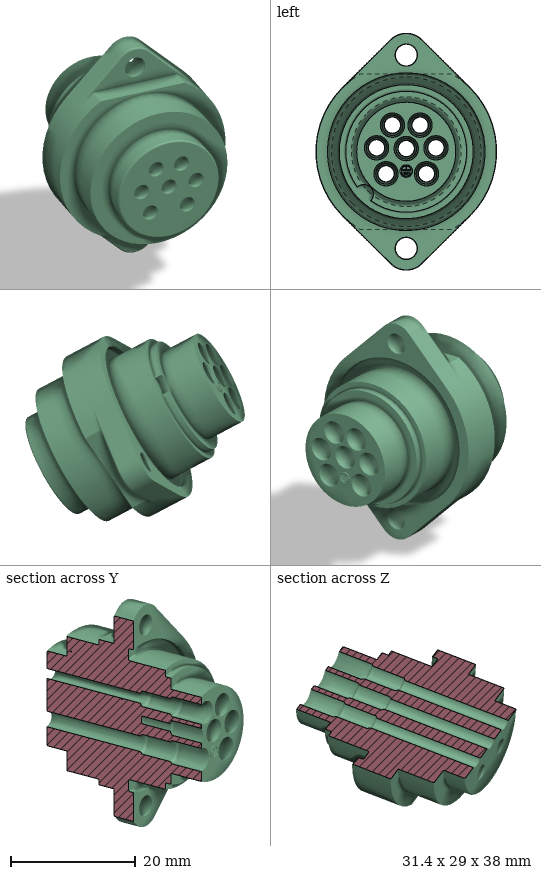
import cadquery as cq
import math


insert_dia = 15.9
collar_dia = 19.4
barrel_dia = 21.5
body_dia = 29.0
rear_body_dia = 24.0
rear_end_dia = 17.6

insert_length = 6.15
collar_length = 1.15
barrel_length = 6.4
flange_thickness = 4.0
body_length = 7.0
rear_body_length = 6.5
rear_end_length = 3.95

barrel_front = -barrel_length
collar_front = barrel_front - collar_length
insert_front = collar_front - insert_length
rear_body_front = body_length
rear_end_front = rear_body_front + rear_body_length
rear_face = rear_end_front + rear_end_length

lug_radius = 3.5
lug_offset = 15.5
mounting_hole_dia = 3.5
edge_round = 0.3
body_flat_height = 12.5

groove_dia = 25.3
groove_depth = 1.0
groove_round = 0.22

contact_mouth_dia = 3.9
contact_middle_dia = 3.3
contact_rear_dia = 2.6
contact_mouth_depth = 6.0
contact_middle_depth = 12.0
contact_shoulder_angle = 45.0
contact_circle_radius = 4.8
contact_pitch_angle = 55.0
contacts_on_circle = 6
center_contact_height = 0.5

key_dia = 3.05
key_center_radius = 9.6
key_angle = -45.0

symbol_height = 0.2
symbol_dia = 2.0
symbol_inner_dia = 1.6
symbol_center_z = -3.1
symbol_stroke = 0.15
symbol_bars = [(0.15, 1.8), (-0.2, 1.1), (-0.5, 0.6)]


def disc(diameter, start, length, y=0.0, z=0.0):
    """Cylinder along +X whose front face is centred at (start, y, z)."""
    return cq.Workplane("YZ", origin=(start, y, z)).circle(diameter / 2).extrude(length)


def make_flange():
    """Plate bounded by the body circle, two lug circles and their common tangents."""
    rise = math.asin((body_dia / 2 - lug_radius) / lug_offset)
    hub_y = body_dia / 2 * math.cos(rise)
    hub_z = body_dia / 2 * math.sin(rise)
    lug_y = lug_radius * math.cos(rise)
    lug_z = lug_offset + lug_radius * math.sin(rise)
    lug_tip = lug_offset + lug_radius
    plate = (
        cq.Workplane("YZ")
        .moveTo(hub_y, -hub_z)
        .threePointArc((body_dia / 2, 0), (hub_y, hub_z))
        .lineTo(lug_y, lug_z)
        .threePointArc((0, lug_tip), (-lug_y, lug_z))
        .lineTo(-hub_y, hub_z)
        .threePointArc((-body_dia / 2, 0), (-hub_y, -hub_z))
        .lineTo(-lug_y, -lug_z)
        .threePointArc((0, -lug_tip), (lug_y, -lug_z))
        .close()
        .extrude(flange_thickness)
    )
    return plate.faces(">X").edges().fillet(edge_round)


def make_body():
    """Round body behind the flange, flattened at top and bottom."""
    flat_slab = cq.Workplane("YZ").rect(body_dia, 2 * body_flat_height).extrude(body_length)
    return disc(body_dia, 0, body_length).intersect(flat_slab)


def make_seal_groove():
    """Ring cut into the flange face, with rounded floor corners."""
    ring = disc(groove_dia, 0, groove_depth).cut(disc(barrel_dia, 0, groove_depth))
    return ring.faces(">X").edges().fillet(groove_round)


def make_contact_hole(y, z):
    """Through hole that steps down twice between the insert face and the rear face."""
    mouth_radius = contact_mouth_dia / 2
    middle_radius = contact_middle_dia / 2
    rear_radius = contact_rear_dia / 2
    cone_ratio = math.tan(math.radians(contact_shoulder_angle))
    mouth_shoulder = (mouth_radius - middle_radius) / cone_ratio
    middle_shoulder = (middle_radius - rear_radius) / cone_ratio
    profile = (
        cq.Workplane("XY", origin=(insert_front, y, z))
        .lineTo(0, mouth_radius)
        .lineTo(contact_mouth_depth, mouth_radius)
        .lineTo(contact_mouth_depth + mouth_shoulder, middle_radius)
        .lineTo(contact_middle_depth, middle_radius)
        .lineTo(contact_middle_depth + middle_shoulder, rear_radius)
        .lineTo(rear_face - insert_front, rear_radius)
        .lineTo(rear_face - insert_front, 0)
        .close()
    )
    return profile.revolve(360, (0, 0, 0), (1, 0, 0))


def contact_positions():
    """Centre contact followed by those spaced around the circle, open at the bottom."""
    positions = [(0, center_contact_height)]
    first = 90 - contact_pitch_angle * (contacts_on_circle - 1) / 2
    for index in range(contacts_on_circle):
        angle = math.radians(first + index * contact_pitch_angle)
        y = contact_circle_radius * math.cos(angle)
        z = contact_circle_radius * math.sin(angle)
        positions.append((y, z))
    return positions


def make_key_notch():
    """Round notch through the collar."""
    angle = math.radians(key_angle)
    y = key_center_radius * math.cos(angle)
    z = key_center_radius * math.sin(angle)
    return disc(key_dia, collar_front, collar_length, y, z)


def make_earth_symbol():
    """Ring with a stem and three shrinking bars, standing on the insert face."""
    face = cq.Workplane("YZ", origin=(insert_front, 0, symbol_center_z))
    ring = face.circle(symbol_dia / 2).circle(symbol_inner_dia / 2)
    symbol = ring.extrude(-symbol_height)
    stem_bottom = symbol_bars[0][0]
    stem_top = (symbol_dia + symbol_inner_dia) / 4
    stem = face.center(0, (stem_bottom + stem_top) / 2).rect(symbol_stroke, stem_top - stem_bottom)
    symbol = symbol.union(stem.extrude(-symbol_height))
    for height, length in symbol_bars:
        bar = face.center(0, height).rect(length, symbol_stroke)
        symbol = symbol.union(bar.extrude(-symbol_height))
    return symbol


insert = disc(insert_dia, insert_front, insert_length)
collar = disc(collar_dia, collar_front, collar_length).cut(make_key_notch())
barrel = disc(barrel_dia, barrel_front, barrel_length)
rear_body = disc(rear_body_dia, rear_body_front, rear_body_length)
rear_end = disc(rear_end_dia, rear_end_front, rear_end_length).faces(">X").edges().fillet(edge_round)

result = make_flange().union(make_body()).cut(make_seal_groove())
for section in (barrel, collar, insert, rear_body, rear_end, make_earth_symbol()):
    result = result.union(section)

for hole_z in (lug_offset, -lug_offset):
    result = result.cut(disc(mounting_hole_dia, 0, flange_thickness, 0, hole_z))

for hole_y, hole_z in contact_positions():
    result = result.cut(make_contact_hole(hole_y, hole_z))